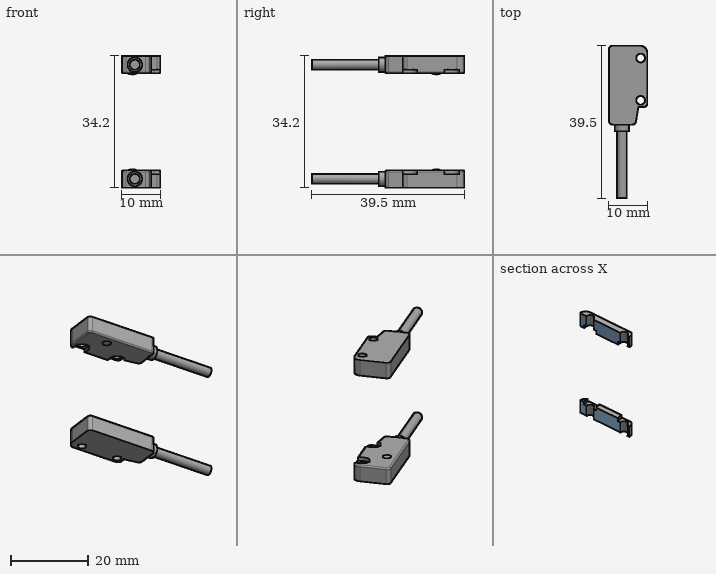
import cadquery as cq


overall_length = 39.5
overall_height = 34.2
housing_width = 10.0
housing_length = 20.5
housing_height = 4.6
ear_end = 15.95
neck_root_x = 7.65
neck_tip_x = 6.9
corner_radius = 1.0
ear_corner_radius = 1.98
rim_radius = 0.45

hole_diameter = 2.2
hole_x = housing_width - 1.78
first_hole_y = -3.25
hole_spacing = 10.95
hole_positions = [(hole_x, first_hole_y), (hole_x, first_hole_y - hole_spacing)]
seat_radius = 1.95
seat_depth = 1.03

dome_diameter = 2.2
dome_height = 0.28
dome_x = 2.73
dome_y = -7.25

cable_diameter = 2.6
cable_x = 3.35
cable_z = 2.35
sleeve_diameter = 3.8
sleeve_length = 1.7
cable_length = overall_length - housing_length


def make_housing():
    """Rounded block whose mounting ear stops short of the slanted neck."""
    block = (
        cq.Workplane("XY")
        .moveTo(0, 0)
        .lineTo(housing_width, 0)
        .lineTo(housing_width, -ear_end)
        .lineTo(neck_root_x, -ear_end)
        .lineTo(neck_tip_x, -housing_length)
        .lineTo(0, -housing_length)
        .close()
        .extrude(housing_height)
    )

    def upright_edge(x, y):
        return cq.selectors.NearestToPointSelector((x, y, housing_height / 2))

    block = block.edges(upright_edge(housing_width, 0)).fillet(ear_corner_radius)
    rounded_corners = [
        (0, 0),
        (housing_width, -ear_end),
        (neck_tip_x, -housing_length),
        (0, -housing_length),
    ]
    for x, y in rounded_corners:
        block = block.edges(upright_edge(x, y)).fillet(corner_radius)
    return block.faces(">Z").edges().fillet(rim_radius)


def make_screw_seat(x, y):
    """Cutter for a seat that is round behind the hole and open at the mounting side."""
    return (
        cq.Workplane("XY")
        .workplane(offset=housing_height - seat_depth)
        .moveTo(housing_width, y + seat_radius)
        .lineTo(x, y + seat_radius)
        .threePointArc((x - seat_radius, y), (x, y - seat_radius))
        .lineTo(housing_width, y - seat_radius)
        .close()
        .extrude(seat_depth)
    )


def make_dome():
    """Shallow spherical cap on a short root that sinks into the housing."""
    radius = dome_diameter / 2
    sphere_radius = (radius**2 + dome_height**2) / (2 * dome_height)
    sphere = cq.Workplane("XY").sphere(sphere_radius)
    cap = sphere.translate((dome_x, dome_y, housing_height + dome_height - sphere_radius))
    keeper = (
        cq.Workplane("XY")
        .workplane(offset=housing_height - dome_height)
        .center(dome_x, dome_y)
        .circle(radius)
        .extrude(2 * dome_height)
    )
    return keeper.intersect(cap)


def make_round_bar(diameter, length):
    """Cylinder leaving the cable end of the housing along -Y."""
    return (
        cq.Workplane("XZ", origin=(cable_x, -housing_length, cable_z))
        .circle(diameter / 2)
        .extrude(length)
    )


def make_sensor():
    """Housing, dome, sleeve and cable as one solid."""
    sensor = make_housing()
    for x, y in hole_positions:
        sensor = sensor.cut(make_screw_seat(x, y))
    holes = cq.Workplane("XY").pushPoints(hole_positions).circle(hole_diameter / 2).extrude(housing_height)
    sensor = sensor.cut(holes).union(make_dome())
    sensor = sensor.union(make_round_bar(sleeve_diameter, sleeve_length))
    return sensor.union(make_round_bar(cable_diameter, cable_length))


lower_sensor = make_sensor()
upper_sensor = lower_sensor.mirror("XY", (0, 0, overall_height / 2))

result = cq.Compound.makeCompound([lower_sensor.val(), upper_sensor.val()])